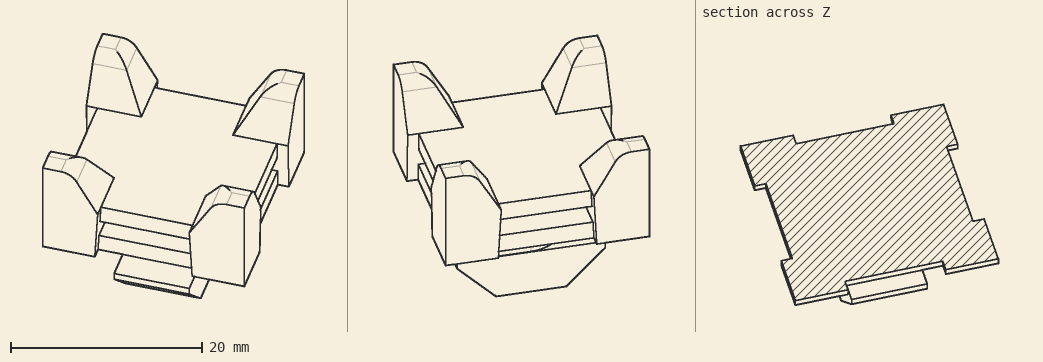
import cadquery as cq
import math

overall_width = 22.0
plate_width = 19.6
plate_thickness = 2.0
seat_height = 6.0

post_height = 11.0
post_width = 6.0
undercut_angle = 3.0
lead_in_angle = 30.0
post_top_radius = 2.0

neck_width = 8.0
neck_length = 4.6
head_width = 8.2
head_span = 16.0
head_height = 5.0
head_rim = 0.8

post_foot_width = post_width - seat_height * math.tan(math.radians(undercut_angle))
post_tip_width = post_width - (post_height - seat_height) * math.tan(math.radians(lead_in_angle))


def make_plate(bottom):
    return (
        cq.Workplane("XY")
        .workplane(offset=bottom)
        .rect(plate_width, plate_width)
        .extrude(plate_thickness)
    )


def post_side(plane):
    """Post side profile, measured from the outer corner and swept across the post."""
    return (
        cq.Workplane(plane)
        .polyline(
            [
                (0, 0),
                (post_foot_width, 0),
                (post_width, seat_height),
                (post_tip_width, post_height),
                (0, post_height),
            ]
        )
        .close()
        .extrude(post_width if plane == "YZ" else -post_width)
    )


def round_tip(side, across):
    """Round the edge between the lead-in slope and the flat tip."""
    tip_edge = cq.selectors.NearestToPointSelector(across)
    return side.edges(tip_edge).fillet(post_top_radius)


def make_post():
    """Two crossed profiles meet in a mitre along the inner diagonal."""
    x_side = round_tip(post_side("XZ"), (post_tip_width, post_width / 2, post_height))
    y_side = round_tip(post_side("YZ"), (post_width / 2, post_tip_width, post_height))
    corner = -overall_width / 2
    return x_side.intersect(y_side).translate((corner, corner, 0))


def make_neck():
    """Square neck with two opposite corners fully rounded."""
    half = neck_width / 2
    bulge = half * math.sqrt(0.5)
    return (
        cq.Workplane("XY")
        .moveTo(-half, 0)
        .threePointArc((-bulge, -bulge), (0, -half))
        .lineTo(half, -half)
        .lineTo(half, 0)
        .threePointArc((bulge, bulge), (0, half))
        .lineTo(-half, half)
        .close()
        .extrude(-neck_length)
    )


def make_head():
    """T-head along Y, with 45 degree slopes at both ends."""
    half_span = head_span / 2
    half_base = half_span - (head_height - head_rim)
    top = -neck_length
    rim_bottom = top - head_rim
    base = top - head_height
    return (
        cq.Workplane("YZ")
        .polyline(
            [
                (-half_span, top),
                (half_span, top),
                (half_span, rim_bottom),
                (half_base, base),
                (-half_base, base),
                (-half_span, rim_bottom),
            ]
        )
        .close()
        .extrude(head_width / 2, both=True)
    )


lower_plate = make_plate(0)
upper_plate = make_plate(seat_height - plate_thickness)
result = lower_plate.union(upper_plate)

post = make_post()
for quarter_turn in range(4):
    result = result.union(post.rotate((0, 0, 0), (0, 0, 1), 90 * quarter_turn))

result = result.union(make_neck()).union(make_head())